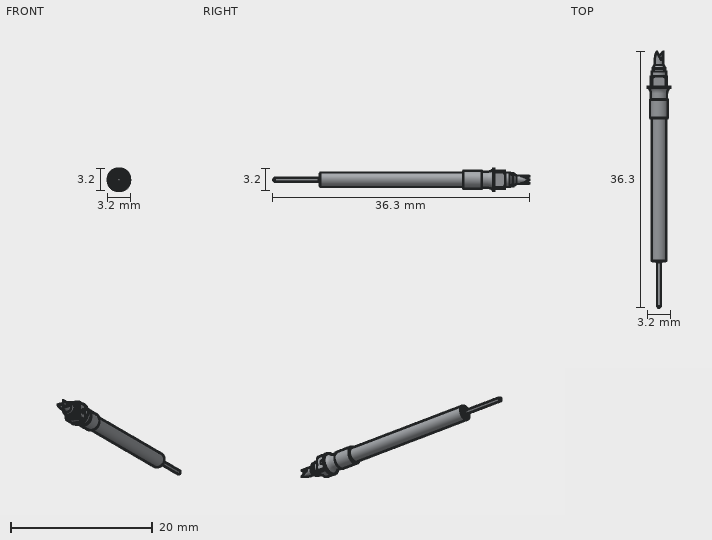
import cadquery as cq
import math

total_length = 36.3

plunger_radius = 0.62
plunger_flare_start = 1.9
plunger_flare_radius = 0.89
plunger_disc_start = 2.33
plunger_disc_end = 2.45
plunger_disc_radius = 0.95
plunger_neck_radius = 0.66

collar_start = 2.85
collar_end = 3.51
collar_radius = 1.05
collar_front_chamfer = 0.1
collar_rear_chamfer = 0.05

block_end = 4.97
block_width = 2.33
block_height = 2.55
block_corner_radius = 1.57
block_front_radius = 1.4
block_taper_length = 0.2

dimple_station = 4.5
dimple_radius = 0.32
dimple_depth = 0.2

flange_radius = 1.6
flange_arc_start_radius = 1.48
flange_rim_end = 5.17
flange_arc_end = 5.93
neck_radius = 1.165

sleeve_start = 6.73
sleeve_end = 9.45
sleeve_radius = 1.275
sleeve_chamfer = 0.1
barrel_radius = 1.055
barrel_chamfer_start = 29.6

barrel_end = 29.72
lip_outer_radius = 0.79
recess_radius = 0.61
recess_depth = 0.1

rod_collar_radius = 0.4
rod_collar_end = 29.87
rod_radius = 0.29

groove_count = 3
groove_slope = math.radians(45)
groove_half_angle = math.radians(30)
groove_overrun = 1.5


def at(radius, station):
    """Point in the half-plane of revolution: X is the radius, Y the axis."""
    return (radius, -station)


def flange_arc_point():
    """Middle point of the concave arc, which is tangent to the neck cylinder."""
    run = flange_arc_end - flange_rim_end
    rise = flange_arc_start_radius - neck_radius
    arc_radius = (run**2 + rise**2) / (2 * rise)
    half_sweep = math.asin(run / arc_radius) / 2
    return at(
        neck_radius + arc_radius * (1 - math.cos(half_sweep)),
        flange_arc_end - arc_radius * math.sin(half_sweep),
    )


def turned_body():
    """Everything that is round about the axis."""
    profile = (
        cq.Workplane("XY")
        .moveTo(*at(0, 0))
        .lineTo(*at(plunger_radius, 0))
        .lineTo(*at(plunger_radius, plunger_flare_start))
        .lineTo(*at(plunger_flare_radius, plunger_disc_start))
        .lineTo(*at(plunger_disc_radius, plunger_disc_start))
        .lineTo(*at(plunger_disc_radius, plunger_disc_end))
        .lineTo(*at(plunger_neck_radius, plunger_disc_end))
        .lineTo(*at(collar_radius - collar_front_chamfer, collar_start - collar_front_chamfer))
        .lineTo(*at(collar_radius, collar_start))
        .lineTo(*at(collar_radius, collar_end - collar_rear_chamfer))
        .lineTo(*at(collar_radius - collar_rear_chamfer, collar_end))
        .lineTo(*at(collar_radius - collar_rear_chamfer, block_end))
        .lineTo(*at(flange_radius, block_end))
        .lineTo(*at(flange_radius, flange_rim_end))
        .lineTo(*at(flange_arc_start_radius, flange_rim_end))
        .threePointArc(flange_arc_point(), at(neck_radius, flange_arc_end))
        .lineTo(*at(neck_radius, sleeve_start))
        .lineTo(*at(sleeve_radius - sleeve_chamfer, sleeve_start))
        .lineTo(*at(sleeve_radius, sleeve_start + sleeve_chamfer))
        .lineTo(*at(sleeve_radius, sleeve_end - sleeve_chamfer))
        .lineTo(*at(sleeve_radius - sleeve_chamfer, sleeve_end))
        .lineTo(*at(barrel_radius, sleeve_end))
        .lineTo(*at(barrel_radius, barrel_chamfer_start))
        .lineTo(*at(lip_outer_radius, barrel_end))
        .lineTo(*at(recess_radius, barrel_end))
        .lineTo(*at(recess_radius, barrel_end - recess_depth))
        .lineTo(*at(rod_collar_radius, barrel_end - recess_depth))
        .lineTo(*at(rod_radius, rod_collar_end))
        .lineTo(*at(rod_radius, total_length - rod_radius))
        .lineTo(*at(0, total_length))
        .close()
    )
    return profile.revolve(360, (0, 0, 0), (0, 1, 0))


def wrench_block():
    """Rectangular block whose corners are turned round and tapered at the front."""
    length = block_end - collar_end
    block = cq.Workplane("XY").box(block_width, length, block_height)
    block = block.translate((0, -(collar_end + block_end) / 2, 0))
    envelope = (
        cq.Workplane("XY")
        .moveTo(*at(0, collar_end))
        .lineTo(*at(block_front_radius, collar_end))
        .lineTo(*at(block_corner_radius, collar_end + block_taper_length))
        .lineTo(*at(block_corner_radius, block_end))
        .lineTo(*at(0, block_end))
        .close()
        .revolve(360, (0, 0, 0), (0, 1, 0))
    )
    return block.intersect(envelope)


def dimple():
    """Conical dimple that enters the -X flat."""
    cone = cq.Solid.makeCone(
        dimple_radius,
        0,
        dimple_depth,
        pnt=cq.Vector(-block_width / 2, -dimple_station, 0),
        dir=cq.Vector(1, 0, 0),
    )
    return cq.Workplane(obj=cone)


def prong_groove():
    """V-groove across the tip, its floor sloping down towards +X."""
    reach = groove_overrun * plunger_radius
    drop = reach * math.tan(groove_slope)
    floor_station = plunger_radius * math.tan(groove_slope)
    depth = 2 * drop + floor_station
    half_width = depth * math.tan(groove_half_angle)
    start = -reach
    floor = -floor_station + drop
    section = cq.Wire.makePolygon(
        [
            cq.Vector(start, floor, 0),
            cq.Vector(start, floor + depth, half_width),
            cq.Vector(start, floor + depth, -half_width),
        ],
        close=True,
    )
    groove = cq.Solid.extrudeLinear(section, [], cq.Vector(2 * reach, -2 * drop, 0))
    return cq.Workplane(obj=groove)


result = turned_body().union(wrench_block()).cut(dimple())
for index in range(groove_count):
    angle = 180 + index * 360 / groove_count
    result = result.cut(prong_groove().rotate((0, 0, 0), (0, 1, 0), angle))